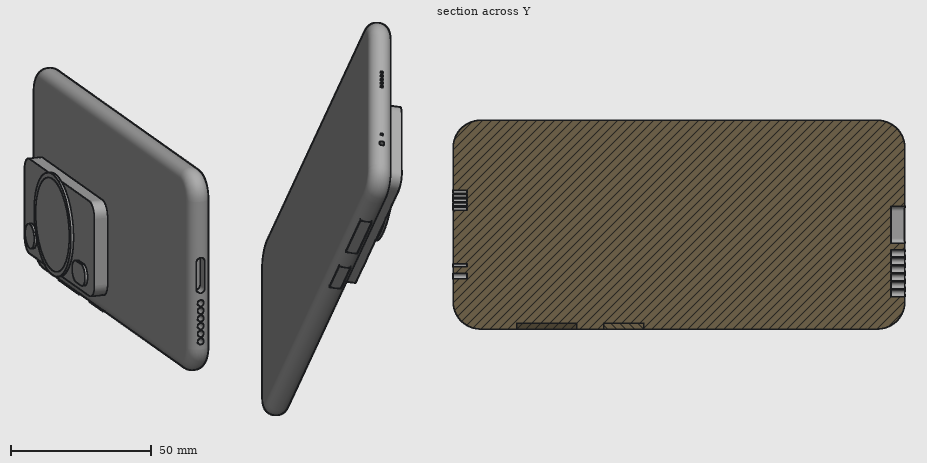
import cadquery as cq

LENGTH = 161.0
HEIGHT = 74.5
THICKNESS = 8.4
CORNER_RADIUS = 10.0
EDGE_RADIUS = 4.0
BACK_Y = -THICKNESS / 2

PLATFORM_X = -37.75
PLATFORM_Z = -12.0
PLATFORM_LENGTH = 70.7
PLATFORM_HEIGHT = 35.0
PLATFORM_RISE = 5.0
PLATFORM_CORNER_RADIUS = 5.2
PLATFORM_FACE_Y = BACK_Y - PLATFORM_RISE

LENS_RISE = 1.0
MAIN_LENS_X = -42.1
MAIN_LENS_Z = PLATFORM_Z
MAIN_LENS_RADIUS = 18.65
GLASS_RADIUS = 16.9
SMALL_LENS_X = -65.05
SMALL_LENS_Z = -22.2
SMALL_LENS_RADIUS = 4.5
FLASH_X = -15.8
FLASH_Z = -23.1
FLASH_LENGTH = 13.0
FLASH_HEIGHT = 7.9

OPENING_DEPTH = 5.0
USB_LENGTH = 13.0
USB_THICKNESS = 3.2
SPEAKER_COUNT = 6
SPEAKER_PITCH = 2.83
SPEAKER_FIRST_Z = -10.2
SPEAKER_DIAMETER = 2.3
GRILLE_COUNT = 5
GRILLE_PITCH = 1.5
GRILLE_FIRST_Z = 11.75
SENSOR_Z = -14.5
SMALL_HOLE_DIAMETER = 0.9
MICROPHONE_Z = -18.3
MICROPHONE_DIAMETER = 1.8

BUTTON_WIDTH = 4.2
BUTTON_DEPTH = 2.0
VOLUME_X = -47.1
VOLUME_LENGTH = 21.2
POWER_X = -19.7
POWER_LENGTH = 14.0


def plane_facing_back(y):
    """XZ workplane at the given Y; extrusions grow towards -Y."""
    return cq.Workplane("XZ", origin=(0, y, 0))


def plane_at_end(x):
    """YZ workplane at the given X; extrusions grow towards +X."""
    return cq.Workplane("YZ", origin=(x, 0, 0))


def rounded_slab():
    slab = plane_facing_back(THICKNESS / 2).rect(LENGTH, HEIGHT).extrude(THICKNESS)
    slab = slab.edges("|Y").fillet(CORNER_RADIUS)
    return slab.faces("<Y or >Y").edges().fillet(EDGE_RADIUS)


def camera_platform():
    platform = plane_facing_back(BACK_Y).center(PLATFORM_X, PLATFORM_Z)
    platform = platform.rect(PLATFORM_LENGTH, PLATFORM_HEIGHT).extrude(PLATFORM_RISE)
    return platform.edges("|Y").fillet(PLATFORM_CORNER_RADIUS)


def lens_disc(x, z, radius):
    return plane_facing_back(PLATFORM_FACE_Y).center(x, z).circle(radius).extrude(LENS_RISE)


def flash_window():
    window = plane_facing_back(PLATFORM_FACE_Y).center(FLASH_X, FLASH_Z)
    return window.slot2D(FLASH_LENGTH, FLASH_HEIGHT).extrude(LENS_RISE)


def usb_port():
    port = plane_at_end(LENGTH / 2 - OPENING_DEPTH)
    return port.slot2D(USB_LENGTH, USB_THICKNESS, angle=90).extrude(OPENING_DEPTH)


def round_holes(start_x, heights, diameter):
    """Row of holes along X, one at each Z height, starting at start_x."""
    centers = [(0, z) for z in heights]
    return plane_at_end(start_x).pushPoints(centers).circle(diameter / 2).extrude(OPENING_DEPTH)


def make_main_glass():
    return lens_disc(MAIN_LENS_X, MAIN_LENS_Z, GLASS_RADIUS)


def make_button(x, length):
    button = cq.Workplane("XY", origin=(x, 0, -HEIGHT / 2))
    return button.rect(length, BUTTON_WIDTH).extrude(BUTTON_DEPTH)


def make_housing():
    housing = rounded_slab().union(camera_platform())

    housing = housing.union(lens_disc(MAIN_LENS_X, MAIN_LENS_Z, MAIN_LENS_RADIUS))
    housing = housing.union(lens_disc(SMALL_LENS_X, SMALL_LENS_Z, SMALL_LENS_RADIUS))
    housing = housing.union(flash_window())

    speaker_heights = [SPEAKER_FIRST_Z - i * SPEAKER_PITCH for i in range(SPEAKER_COUNT)]
    housing = housing.cut(usb_port())
    housing = housing.cut(round_holes(LENGTH / 2 - OPENING_DEPTH, speaker_heights, SPEAKER_DIAMETER))

    small_heights = [GRILLE_FIRST_Z - i * GRILLE_PITCH for i in range(GRILLE_COUNT)]
    small_heights.append(SENSOR_Z)
    housing = housing.cut(round_holes(-LENGTH / 2, small_heights, SMALL_HOLE_DIAMETER))
    return housing.cut(round_holes(-LENGTH / 2, [MICROPHONE_Z], MICROPHONE_DIAMETER))


main_glass = make_main_glass()
buttons = [make_button(x, length) for x, length in ((VOLUME_X, VOLUME_LENGTH), (POWER_X, POWER_LENGTH))]

housing = make_housing().cut(main_glass)
for button in buttons:
    housing = housing.cut(button)

result = cq.Compound.makeCompound([housing.val(), main_glass.val(), *[button.val() for button in buttons]])